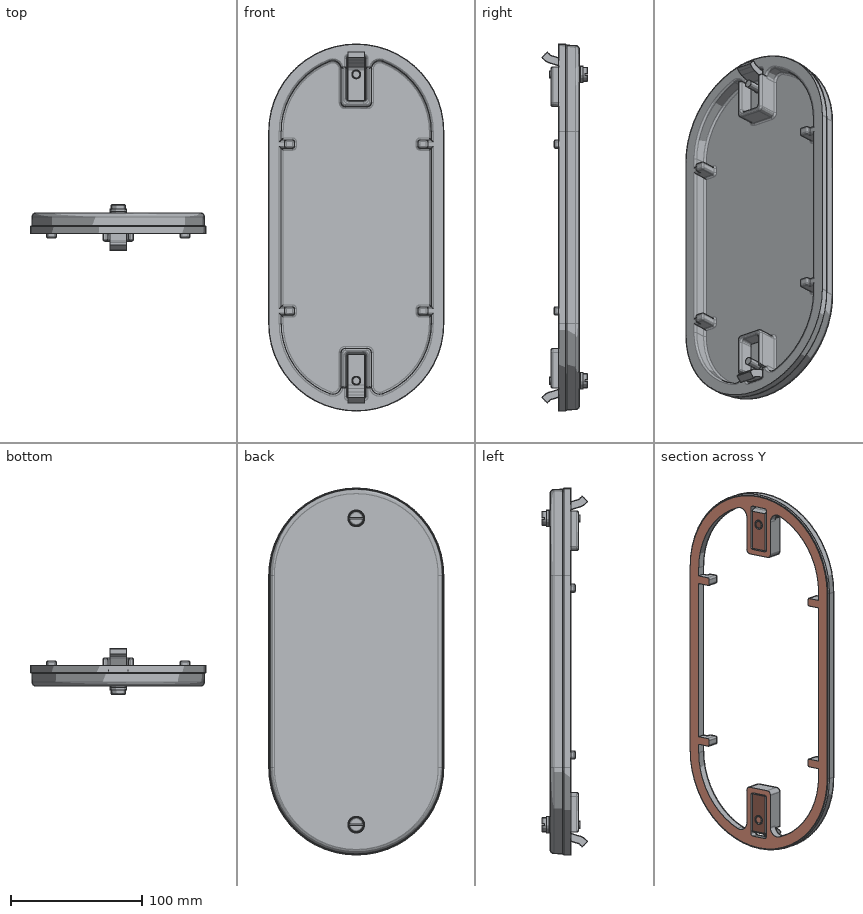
import cadquery as cq
import math


cover_width = 133.35
cover_height = 279.4
cover_depth = 15.875
flange_depth = 5.4
flange_step = 0.85
body_draft = 2.0
back_edge_radius = 3.175
rim_width = 9.525
floor_thickness = 4.7625
edge_radius = 1.5
margin = 0.1
housing_notch_radius = 6.35
floor_y = cover_depth - floor_thickness
pocket_width = cover_width - 2 * rim_width
pocket_height = cover_height - 2 * rim_width
through = 3 * cover_depth

foot_width = 6.35
foot_z = 63.5
foot_inner_x = 47.1
foot_outer_x = 54.6
foot_height = 3.4
foot_top_radius = 1.35

housing_width = 23.0
housing_inner_z = 92.0
housing_outer_z = 122.3
housing_height = 5.8
housing_wall = 3.4
housing_corner_radius = 3.175

recess_width = housing_width - 2 * housing_wall
recess_inner_z = housing_inner_z + housing_wall
recess_outer_z = 131.0
recess_corner_radius = 2.5
recess_draft = 4.0
recess_edge_radius = 1.4

arm_width = 12.7
arm_thickness = 5.8
arm_face_y = 4.2
arm_bend_z = 121.9
arm_rise_angle = 73.0
arm_tip_angle = 45.0
arm_tip_z = 129.4
arm_tip_y = -12.7
arm_bend_radius = 2.6
arm_tip_bend_radius = 3.0
arm_inner_z = 96.8
recess_floor_y = arm_face_y + arm_thickness

overall_depth = 34.75
screw_z = 116.6
screw_diameter = 5.49
screw_tip_y = -7.1
arm_hole_diameter = 6.75
washer_diameter = 12.7
washer_neck_diameter = 12.19
washer_neck_height = 0.9
washer_thickness = 2.8
head_diameter = 10.79
head_edge_radius = 0.7
slot_width = 1.2
slot_depth = 1.8
washer_top_y = cover_depth + washer_thickness
head_top_y = overall_depth + arm_tip_y


def racetrack(width, height, start_y, depth, draft=0):
    plane = cq.Plane(origin=(0, start_y, 0), xDir=(1, 0, 0), normal=(0, 1, 0))
    return cq.Workplane(plane).slot2D(height, width, 90).extrude(depth, taper=draft)


def block(x_range, y_range, z_range):
    ranges = (x_range, y_range, z_range)
    sizes = [high - low for low, high in ranges]
    corner = tuple(low for low, high in ranges)
    return cq.Workplane("XY").box(*sizes, centered=False).translate(corner)


def disc(diameter, start_y, end_y):
    """Cylinder on the upper screw axis."""
    plane = cq.Plane(origin=(0, start_y, screw_z), xDir=(1, 0, 0), normal=(0, 1, 0))
    return cq.Workplane(plane).circle(diameter / 2).extrude(end_y - start_y)


def both_ends(body):
    return [body, body.rotate((0, 0, 0), (0, 1, 0), 180)]


def four_copies(body):
    return both_ends(body) + both_ends(body.mirror("YZ"))


def inside_box(half_width, y_range, z_range):
    """Selects what lies wholly inside a box centred on X = 0."""
    low = (-half_width, y_range[0], z_range[0])
    high = (half_width, y_range[1], z_range[1])
    return cq.selectors.BoxSelector(low, high, boundingbox=True)


def make_shell():
    """Full-size flange, a 45 degree step, and the drafted body with its rounded back edge."""
    flange = racetrack(cover_width, cover_height, 0, flange_depth)
    step = racetrack(cover_width, cover_height, flange_depth, flange_step, 45)
    body_y = flange_depth + flange_step
    body = racetrack(
        cover_width - 2 * flange_step,
        cover_height - 2 * flange_step,
        body_y,
        cover_depth - body_y,
        body_draft,
    )
    body = body.faces(">Y").edges().fillet(back_edge_radius)
    return flange.union(step).union(body)


def make_foot(outer_x, height):
    z_range = (foot_z - foot_width / 2, foot_z + foot_width / 2)
    foot = block((foot_inner_x, outer_x), (-height, floor_y), z_range)
    return foot.edges("|Y").fillet(edge_radius)


def make_housing_block(outer_z, height):
    x_range = (-housing_width / 2, housing_width / 2)
    housing = block(x_range, (-height, floor_y), (housing_inner_z, outer_z))
    return housing.edges("|Y").edges("<Z").fillet(housing_corner_radius)


def make_pocket():
    """Inner hollow, leaving material for the housings and feet, with a rounded floor edge."""
    pocket = racetrack(pocket_width, pocket_height, 0, floor_y)
    for housing in both_ends(make_housing_block(cover_height / 2, 0)):
        pocket = pocket.cut(housing)
    corner_reach = housing_width / 2 + edge_radius
    for z_range in ((housing_outer_z, cover_height), (-cover_height, -housing_outer_z)):
        corners = inside_box(corner_reach, (-edge_radius, through), z_range)
        pocket = pocket.edges("|Y").edges(corners).fillet(housing_notch_radius)
    for foot in four_copies(make_foot(cover_width / 2, 0)):
        pocket = pocket.cut(foot)
    return pocket.faces(">Y").edges().fillet(edge_radius)


def make_recess():
    """Drafted pit for the latch, widest at the housing top."""
    length = recess_outer_z - recess_inner_z
    middle_z = (recess_outer_z + recess_inner_z) / 2
    plane = cq.Plane(origin=(0, -housing_height, middle_z), xDir=(1, 0, 0), normal=(0, 1, 0))
    outline = cq.Sketch().rect(recess_width, length).vertices().fillet(recess_corner_radius)
    depth = housing_height + recess_floor_y
    return cq.Workplane(plane).placeSketch(outline).extrude(depth, taper=recess_draft)


def make_cover():
    cover = make_shell().cut(make_pocket())
    inner_rim = inside_box(
        pocket_width / 2 + edge_radius,
        (-edge_radius, edge_radius),
        (-pocket_height / 2 - edge_radius, pocket_height / 2 + edge_radius),
    )
    cover = cover.faces("<Y").edges(inner_rim).fillet(edge_radius)

    foot = make_foot(foot_outer_x, foot_height)
    foot = foot.faces("<Y").edges().fillet(foot_top_radius)
    for copy in four_copies(foot):
        cover = cover.union(copy)

    housing = make_housing_block(housing_outer_z, housing_height)
    housing = housing.faces("<Y").edges().fillet(edge_radius)
    for housing_copy, recess in zip(both_ends(housing), both_ends(make_recess())):
        cover = cover.union(housing_copy).cut(recess)

    mouth_z_range = (housing_inner_z + edge_radius + margin, recess_outer_z + margin)
    for z_range in (mouth_z_range, (-mouth_z_range[1], -mouth_z_range[0])):
        mouth = inside_box(recess_width / 2 + margin, (-housing_height - margin, margin), z_range)
        cover = cover.edges(mouth).fillet(recess_edge_radius)

    for hole in both_ends(disc(screw_diameter, 0, through)):
        cover = cover.cut(hole)
    return cover


def heading(angle):
    turn = math.radians(angle)
    return cq.Vector(-math.sin(turn), math.cos(turn))


def back_point(face_point, angle_before, angle_after):
    """Point on the back of the arm opposite a corner of its face."""
    middle = math.radians((angle_before + angle_after) / 2)
    half_turn = math.radians((angle_after - angle_before) / 2)
    distance = arm_thickness / math.cos(half_turn)
    return face_point + cq.Vector(math.cos(middle), math.sin(middle)) * distance


def make_arm():
    tip = cq.Vector(arm_tip_y, arm_tip_z)
    bend = cq.Vector(arm_face_y, arm_bend_z)
    rise = heading(arm_rise_angle)
    tip_run = heading(arm_tip_angle)
    to_tip = tip - bend
    rise_length = to_tip.cross(tip_run).z / rise.cross(tip_run).z
    tip_bend = bend + rise * rise_length

    back_bend = back_point(bend, 0, arm_rise_angle)
    back_tip_bend = back_point(tip_bend, arm_rise_angle, arm_tip_angle)
    back_tip = back_point(tip, arm_tip_angle, arm_tip_angle)

    profile = cq.Workplane("YZ").moveTo(recess_floor_y, arm_inner_z)
    profile = profile.lineTo(arm_face_y, arm_inner_z)
    for corner in (bend, tip_bend, tip, back_tip, back_tip_bend, back_bend):
        profile = profile.lineTo(corner.x, corner.y)
    arm = profile.close().extrude(arm_width / 2, both=True)

    bends = (
        (bend, arm_bend_radius),
        (back_bend, arm_bend_radius + arm_thickness),
        (tip_bend, arm_tip_bend_radius + arm_thickness),
        (back_tip_bend, arm_tip_bend_radius),
    )
    for corner, radius in bends:
        nearest = cq.selectors.NearestToPointSelector((0, corner.x, corner.y))
        arm = arm.edges("|X").edges(nearest).fillet(radius)
    return arm.cut(disc(arm_hole_diameter, -through, through))


def make_washer():
    neck_end_y = cover_depth + washer_neck_height
    neck = disc(washer_neck_diameter, cover_depth, neck_end_y)
    collar = disc(washer_diameter, neck_end_y, washer_top_y)
    return neck.union(collar).cut(disc(screw_diameter, 0, through))


def make_screw():
    head = disc(head_diameter, washer_top_y, head_top_y)
    head = head.faces(">Y").edges().fillet(head_edge_radius)
    slot = block(
        (-head_diameter, head_diameter),
        (head_top_y - slot_depth, head_top_y),
        (screw_z - slot_width / 2, screw_z + slot_width / 2),
    )
    return head.cut(slot).union(disc(screw_diameter, screw_tip_y, washer_top_y))


cover = make_cover()
arms = both_ends(make_arm())
washers = both_ends(make_washer())
screws = both_ends(make_screw())

bodies = [cover] + arms + washers + screws
result = cq.Compound.makeCompound([body.val() for body in bodies])